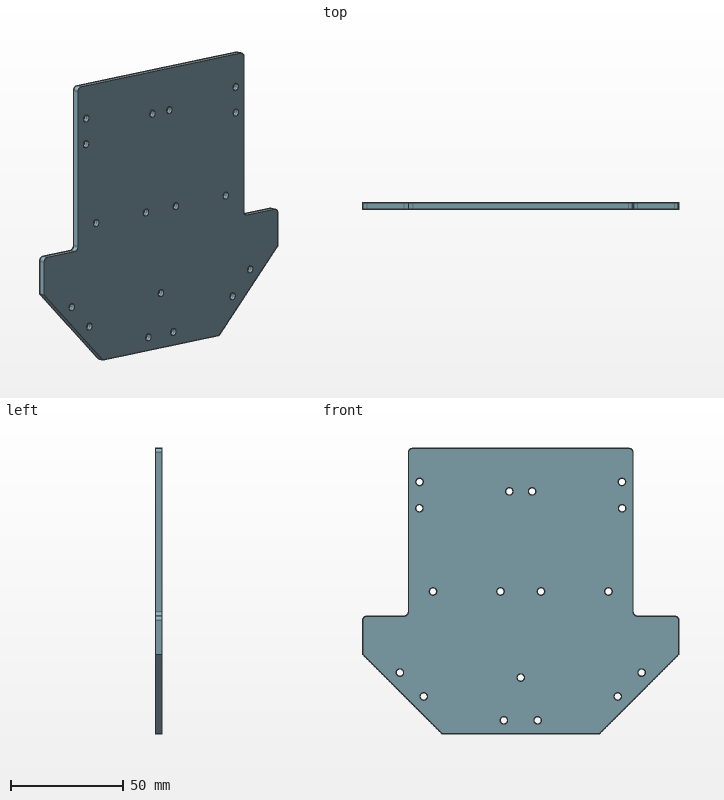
import cadquery as cq
import math

thickness = 3.0
plate_height = 127.0
neck_half_width = 50.0
bottom_half_width = 35.0
slant_length = 50.0
wing_side_height = 17.0
corner_radius = 2.0

diagonal = math.sqrt(0.5)
slant_rise = slant_length * diagonal
wing_half_width = bottom_half_width + slant_rise
shoulder_height = slant_rise + wing_side_height

hole_diameter = 3.2

upper_side_hole_x = 45.0
side_hole_top_margin = 15.0
upper_side_hole_z = plate_height - side_hole_top_margin
lower_side_hole_x = 45.08
side_hole_spacing = 11.7
lower_side_hole_z = upper_side_hole_z - side_hole_spacing

top_pair_half_spacing = 5.08
top_pair_z = 107.8

middle_row_z = 63.3
middle_row_inner_x = 9.0
middle_row_outer_x = 39.0

center_hole_z = 25.0

bottom_pair_half_spacing = 7.5
bottom_pair_z = 6.0

slant_hole_spacing = 15.0
slant_hole_inset = 6.0


def mirrored(x, z):
    """A point and its mirror image across the X = 0 plane."""
    return [(-x, z), (x, z)]


def make_plate():
    """Flat plate with a neck, two wings and slanted lower corners."""
    right_side = [
        (bottom_half_width, 0),
        (wing_half_width, slant_rise),
        (wing_half_width, shoulder_height),
        (neck_half_width, shoulder_height),
        (neck_half_width, plate_height),
    ]
    left_side = [(-x, z) for x, z in reversed(right_side)]
    plate = (
        cq.Workplane("XZ")
        .polyline(right_side + left_side)
        .close()
        .extrude(thickness / 2, both=True)
    )
    rounded_corners = right_side[2:] + left_side[:3]
    for x, z in rounded_corners:
        corner_edge = cq.selectors.NearestToPointSelector((x, 0, z))
        plate = plate.edges("|Y").edges(corner_edge).fillet(corner_radius)
    return plate


def slant_hole_points():
    """Hole centres along the two slanted edges."""
    inset_step = slant_hole_inset * diagonal
    half_step = slant_hole_spacing / 2 * diagonal
    middle_x = bottom_half_width + slant_rise / 2 - inset_step
    middle_z = slant_rise / 2 + inset_step
    lower = mirrored(middle_x - half_step, middle_z - half_step)
    upper = mirrored(middle_x + half_step, middle_z + half_step)
    return lower + upper


def hole_points():
    """Centres of all through holes as (x, z)."""
    points = [(0, center_hole_z)]
    points += mirrored(upper_side_hole_x, upper_side_hole_z)
    points += mirrored(lower_side_hole_x, lower_side_hole_z)
    points += mirrored(top_pair_half_spacing, top_pair_z)
    points += mirrored(middle_row_inner_x, middle_row_z)
    points += mirrored(middle_row_outer_x, middle_row_z)
    points += mirrored(bottom_pair_half_spacing, bottom_pair_z)
    points += slant_hole_points()
    return points


def make_hole_cutters():
    """Pins that cut every through hole."""
    return (
        cq.Workplane("XZ")
        .pushPoints(hole_points())
        .circle(hole_diameter / 2)
        .extrude(thickness, both=True)
    )


result = make_plate().cut(make_hole_cutters())